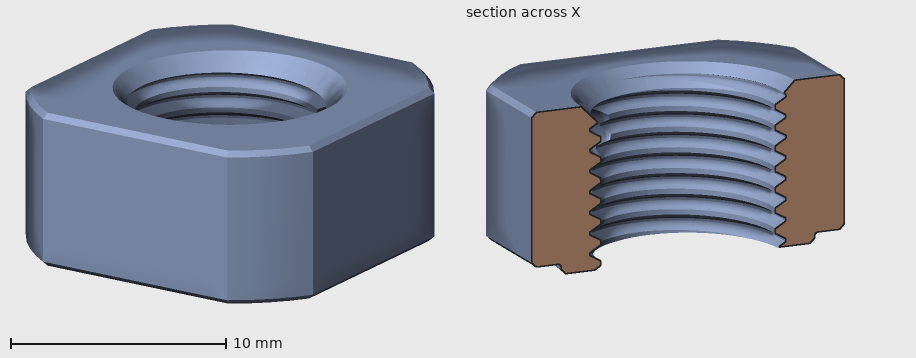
import cadquery as cq
import math

width = 16.0
height = 8.0
corner_circle_diameter = 19.0
body_chamfer = 0.25

collar_height = 0.5
collar_diameter = 13.0
collar_chamfer = 0.25
collar_fillet = 0.15

thread_diameter = 10.0
pitch = 1.0
flank_angle = math.radians(30)
sharp_height = pitch / 2 / math.tan(flank_angle)
thread_depth = sharp_height * 5 / 8
bore_radius = thread_diameter / 2 - thread_depth
root_flat = pitch / 8
groove_opening = pitch * 3 / 4
groove_phase = 0.56
countersink_depth = 1.0

side_hole_diameter = 2.5
side_hole_height = 5.5
side_hole_direction = cq.Vector(1, 1, 0)


def make_body():
    body_height = height - collar_height
    square = cq.Workplane("XY").workplane(offset=collar_height).rect(width, width).extrude(body_height)
    cylinder = (
        cq.Workplane("XY")
        .workplane(offset=collar_height)
        .circle(corner_circle_diameter / 2)
        .extrude(body_height)
    )
    return square.intersect(cylinder).faces("<Z or >Z").chamfer(body_chamfer)


def make_collar():
    """Revolved collar, chamfered below and filleted into the underside of the body."""
    radius = collar_diameter / 2
    fillet_start = collar_height - collar_fillet
    arc_inset = collar_fillet * (1 - math.sqrt(0.5))
    return (
        cq.Workplane("XZ")
        .lineTo(radius - collar_chamfer, 0)
        .lineTo(radius, collar_chamfer)
        .lineTo(radius, fillet_start)
        .threePointArc(
            (radius + arc_inset, collar_height - arc_inset),
            (radius + collar_fillet, collar_height),
        )
        .lineTo(radius + collar_fillet, collar_height + body_chamfer)
        .lineTo(0, collar_height + body_chamfer)
        .close()
        .revolve(360, (0, 0, 0), (0, 1, 0))
    )


def make_bore():
    """Plain bore at the thread crests with a 90 degree countersink at the top."""
    return (
        cq.Workplane("XZ")
        .lineTo(bore_radius, 0)
        .lineTo(bore_radius, height - countersink_depth)
        .lineTo(bore_radius + countersink_depth, height)
        .lineTo(0, height)
        .close()
        .revolve(360, (0, 0, 0), (0, 1, 0))
    )


def make_groove_turn(start):
    """One right-hand turn of the thread groove, centred at height start on the +X side."""
    overlap = 0.1
    inner_radius = bore_radius - overlap
    inner_half = groove_opening / 2 + overlap * math.tan(flank_angle)
    helix = cq.Wire.makeHelix(pitch, pitch, bore_radius, cq.Vector(0, 0, start))
    profile = cq.Workplane("XZ").polyline([
        (inner_radius, start - inner_half),
        (thread_diameter / 2, start - root_flat / 2),
        (thread_diameter / 2, start + root_flat / 2),
        (inner_radius, start + inner_half),
    ])
    return profile.close().sweep(cq.Workplane(helix), isFrenet=True)


def cut_thread(blank):
    """Cut the groove turn by turn, from below the collar to the countersink."""
    for turn in range(-1, math.ceil(height / pitch)):
        blank = blank.cut(make_groove_turn(groove_phase + turn * pitch))
    return blank


def make_side_hole():
    """Radial hole from the bore out through one rounded corner."""
    return cq.Workplane(
        cq.Solid.makeCylinder(
            side_hole_diameter / 2,
            corner_circle_diameter,
            cq.Vector(0, 0, side_hole_height),
            side_hole_direction,
        )
    )


nut = make_body().union(make_collar())
nut = nut.cut(make_bore())
nut = cut_thread(nut)
result = nut.cut(make_side_hole())